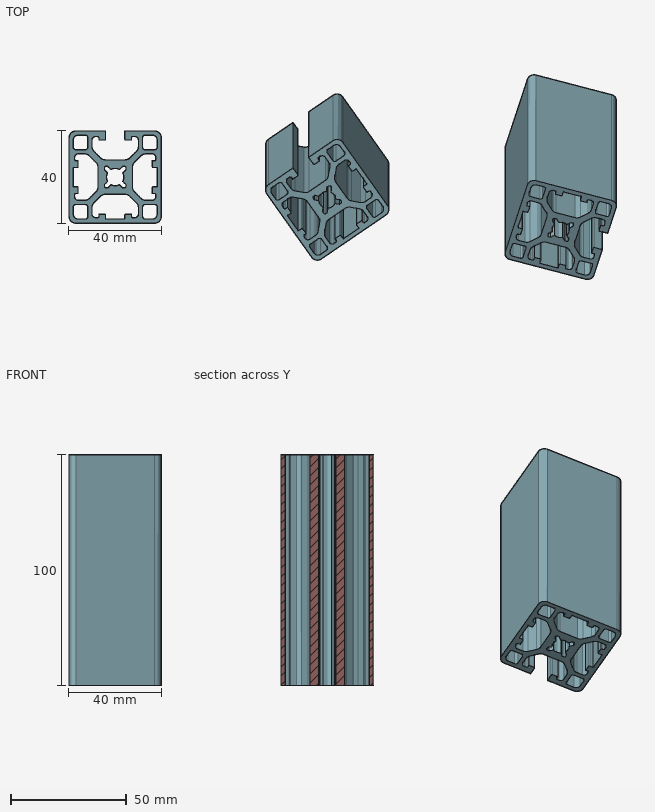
import cadquery as cq
import math

side = 40.0
length = 100.0
half_side = side / 2
outer_radius = 3.0
wall = 1.9
quarter_turns = (0, 90, 180, 270)

open_slot_angle = 0
slot_floor = 7.5
slot_half_width = 10.0
mouth_half_width = 4.1
lip_half_width = 7.1
lip_level = 16.0
undercut_level = 17.5
diagonal_offset = 2.0
bend_radius = 3.0
undercut_outer_radius = 1.5
undercut_inner_radius = 0.5
lip_radius = 0.5

chamber_near = 11.9
chamber_far = half_side - wall
chamber_outer_radius = 2.0
chamber_inner_radius = 1.0

bore_radius = 3.7
groove_width = 2.0
groove_reach = 4.6
groove_tip_radius = 0.5

pick_tolerance = 0.01


def turned(body, angle):
    """Rotate body about the profile axis."""
    return body.rotate((0, 0, 0), (0, 0, 1), angle)


def fillet_at(body, points, radius):
    """Round the vertical edges of body at the given XY points."""
    edges = []
    for x, y in points:
        low = (x - pick_tolerance, y - pick_tolerance, 0)
        high = (x + pick_tolerance, y + pick_tolerance, length)
        edges += body.edges("|Z").edges(cq.selectors.BoxSelector(low, high)).vals()
    return body.newObject(edges).fillet(radius)


def mirrored(points):
    """Mirror an outline half across the Y axis, in reverse order."""
    return [(-x, y) for x, y in reversed(points)]


def slot_cutter(mouth_level):
    """T-slot void on the +Y side, its mouth reaching out to mouth_level."""
    bends = [
        (slot_floor - diagonal_offset, slot_floor),
        (slot_half_width, slot_half_width + diagonal_offset),
    ]
    undercut_outer = [(slot_half_width, undercut_level)]
    undercut_inner = [(lip_half_width, undercut_level)]
    lip_outer = [(lip_half_width, lip_level)]
    lip_inner = [(mouth_half_width, lip_level)]
    mouth = [(mouth_half_width, mouth_level)]

    half = bends + undercut_outer + undercut_inner + lip_outer + lip_inner + mouth
    cutter = cq.Workplane("XY").polyline(half + mirrored(half)).close().extrude(length)
    rounds = (
        (bends, bend_radius),
        (undercut_outer, undercut_outer_radius),
        (undercut_inner, undercut_inner_radius),
        (lip_inner, lip_radius),
    )
    for corners, radius in rounds:
        cutter = fillet_at(cutter, corners + mirrored(corners), radius)
    return cutter


def chamber_cutter():
    """Square void in the +X +Y corner, with a larger radius at its outermost edge."""
    near, far = chamber_near, chamber_far
    size = far - near
    cutter = cq.Workplane("XY").box(size, size, length, centered=False).translate((near, near, 0))
    cutter = fillet_at(cutter, [(far, far)], chamber_outer_radius)
    return fillet_at(cutter, [(near, near), (near, far), (far, near)], chamber_inner_radius)


def bore_cutter():
    """Round bore joined to diagonal grooves that end in the corners of a rounded square."""
    groove_length = 2 * groove_reach * math.sqrt(2)
    groove = cq.Workplane("XY").rect(groove_length, groove_width).extrude(length)
    cross = turned(groove, 45).union(turned(groove, 135))
    limit = cq.Workplane("XY").rect(2 * groove_reach, 2 * groove_reach).extrude(length)
    limit = limit.edges("|Z").fillet(groove_tip_radius)
    bore = cq.Workplane("XY").circle(bore_radius).extrude(length)
    return bore.union(cross.intersect(limit))


profile = cq.Workplane("XY").rect(side, side).extrude(length)
profile = profile.edges("|Z").fillet(outer_radius)

open_slot = slot_cutter(half_side)
closed_slot = slot_cutter(half_side - wall)
chamber = chamber_cutter()
for angle in quarter_turns:
    slot = open_slot if angle == open_slot_angle else closed_slot
    profile = profile.cut(turned(slot, angle))
    profile = profile.cut(turned(chamber, angle))

result = profile.cut(bore_cutter())